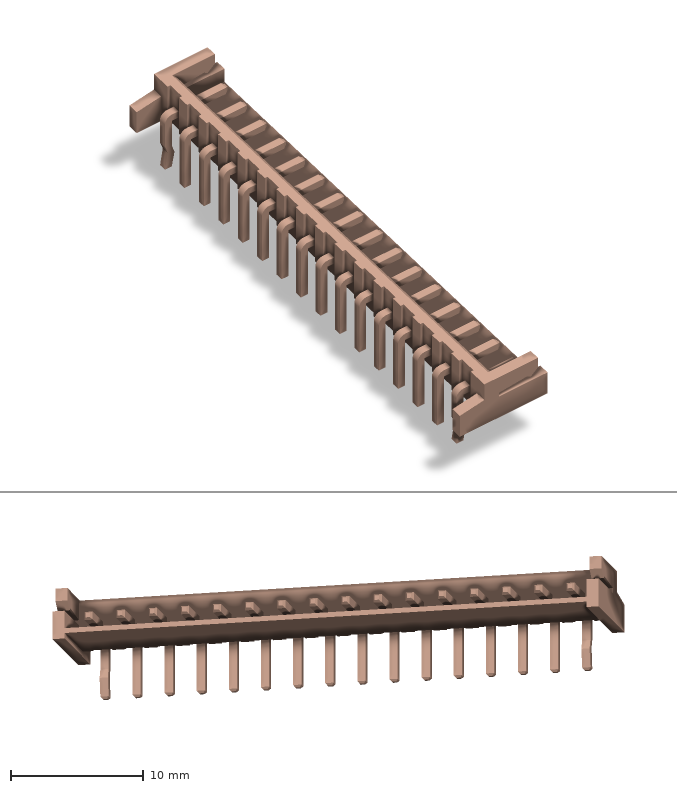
import cadquery as cq

LENGTH = 42.5
DEPTH = 8.2
HEIGHT = 7.4

PIN_COUNT = 16
PITCH = LENGTH / (PIN_COUNT + 1)
PIN_SIZE = 0.65
PIN_TOP = 5.52
PIN_FRONT = 1.28
CONTACT_END = 7.22
CONTACT_TIP = 0.25
TAIL_TIP = 0.15
TIP_SIZE = 0.35
BEND_RADIUS = 0.7

KINK_TOP = 2.5
KINK_MIDDLE = 1.8
KINK_OFFSET = 0.25
KINK_REAR_DROP = 0.2

SIDE_WALL = 0.95
SIDE_BOTTOM = 3.25
FLOOR_BOTTOM = 3.65
FLOOR_TOP = 4.05
WALL_FRONT = 2.3
WALL_INNER = 3.7
RIM_CHAMFER = 0.4
GROOVE_WIDTH = 1.5
GROOVE_DEPTH = 0.25

ARM_TOP = 5.4
ARM_ROOT_TOP = 5.8
LATCH_END = 7.3
LATCH_CORNER_Z = 6.4
LATCH_LIP_Y = 6.65
LATCH_LIP_Z = 5.82
SLOT_MOUTH_Y = 6.3
SLOT_MOUTH_TOP = 6.05
SLOT_END_Y = 3.65
SLOT_END_TOP = 5.8


def extrude_yz(points, x_start, width):
    """Extrude a closed Y-Z outline along +X."""
    return cq.Workplane("YZ", origin=(x_start, 0, 0)).polyline(points).close().extrude(width)


def make_side_wall(x_start):
    """End wall with a forward guide arm and a slot under the rear latch."""
    outline = [
        (0, SIDE_BOTTOM),
        (DEPTH, SIDE_BOTTOM),
        (DEPTH, ARM_TOP),
        (SLOT_END_Y, ARM_TOP),
        (SLOT_END_Y, SLOT_END_TOP),
        (SLOT_MOUTH_Y, SLOT_MOUTH_TOP),
        (LATCH_LIP_Y, LATCH_LIP_Z),
        (LATCH_END, LATCH_CORNER_Z),
        (LATCH_END, HEIGHT),
        (WALL_FRONT, HEIGHT),
        (WALL_FRONT, ARM_ROOT_TOP),
        (0, ARM_TOP),
    ]
    return extrude_yz(outline, x_start, SIDE_WALL)


def make_tray():
    """Floor and front wall between the side walls, chamfered along its inner rim."""
    outline = [
        (WALL_FRONT, FLOOR_BOTTOM),
        (DEPTH, FLOOR_BOTTOM),
        (DEPTH, FLOOR_TOP),
        (WALL_INNER, FLOOR_TOP),
        (WALL_INNER, HEIGHT - RIM_CHAMFER),
        (WALL_INNER - RIM_CHAMFER, HEIGHT),
        (WALL_FRONT, HEIGHT),
    ]
    return extrude_yz(outline, SIDE_WALL - LENGTH / 2, LENGTH - 2 * SIDE_WALL)


def make_groove(x):
    """Full-height groove in the front wall behind a pin."""
    groove = cq.Workplane("XY").box(GROOVE_WIDTH, GROOVE_DEPTH, HEIGHT, centered=(True, False, False))
    return groove.translate((x, WALL_FRONT, 0))


def make_tip(plane, length):
    """Square tip that narrows along the normal of the given plane."""
    return (
        cq.Workplane(plane)
        .rect(PIN_SIZE, PIN_SIZE)
        .workplane(offset=length)
        .rect(TIP_SIZE, TIP_SIZE)
        .loft(ruled=True)
    )


def make_pin(x, kinked):
    """Bent pin: a horizontal contact toward +Y and a tail toward -Z."""
    contact_shoulder = CONTACT_END - CONTACT_TIP
    pin_rear = PIN_FRONT + PIN_SIZE
    rear_kink = []
    front_kink = []
    if kinked:
        rear_kink = [
            (pin_rear, KINK_TOP - KINK_REAR_DROP),
            (pin_rear + KINK_OFFSET, KINK_MIDDLE - KINK_REAR_DROP),
        ]
        front_kink = [(PIN_FRONT + KINK_OFFSET, KINK_MIDDLE), (PIN_FRONT, KINK_TOP)]
    outline = [
        (PIN_FRONT, PIN_TOP),
        (contact_shoulder, PIN_TOP),
        (contact_shoulder, PIN_TOP - PIN_SIZE),
        (pin_rear, PIN_TOP - PIN_SIZE),
        *rear_kink,
        (pin_rear, TAIL_TIP),
        (PIN_FRONT, TAIL_TIP),
        *front_kink,
    ]
    bar = extrude_yz(outline, x - PIN_SIZE / 2, PIN_SIZE)
    bend_edge = cq.selectors.NearestToPointSelector((x, PIN_FRONT, PIN_TOP))
    bar = bar.edges(bend_edge).fillet(BEND_RADIUS)

    contact_centre = (x, contact_shoulder, PIN_TOP - PIN_SIZE / 2)
    tail_centre = (x, PIN_FRONT + PIN_SIZE / 2, TAIL_TIP)
    contact_plane = cq.Plane(origin=contact_centre, xDir=(1, 0, 0), normal=(0, 1, 0))
    tail_plane = cq.Plane(origin=tail_centre, xDir=(1, 0, 0), normal=(0, 0, -1))
    return bar.union(make_tip(contact_plane, CONTACT_TIP)).union(make_tip(tail_plane, TAIL_TIP))


pin_positions = [(i - (PIN_COUNT - 1) / 2) * PITCH for i in range(PIN_COUNT)]

result = make_tray()
for pin_x in pin_positions:
    result = result.cut(make_groove(pin_x))
for wall_start in (-LENGTH / 2, LENGTH / 2 - SIDE_WALL):
    result = result.union(make_side_wall(wall_start))
for pin_x in pin_positions:
    is_outer = pin_x in (pin_positions[0], pin_positions[-1])
    result = result.union(make_pin(pin_x, is_outer))